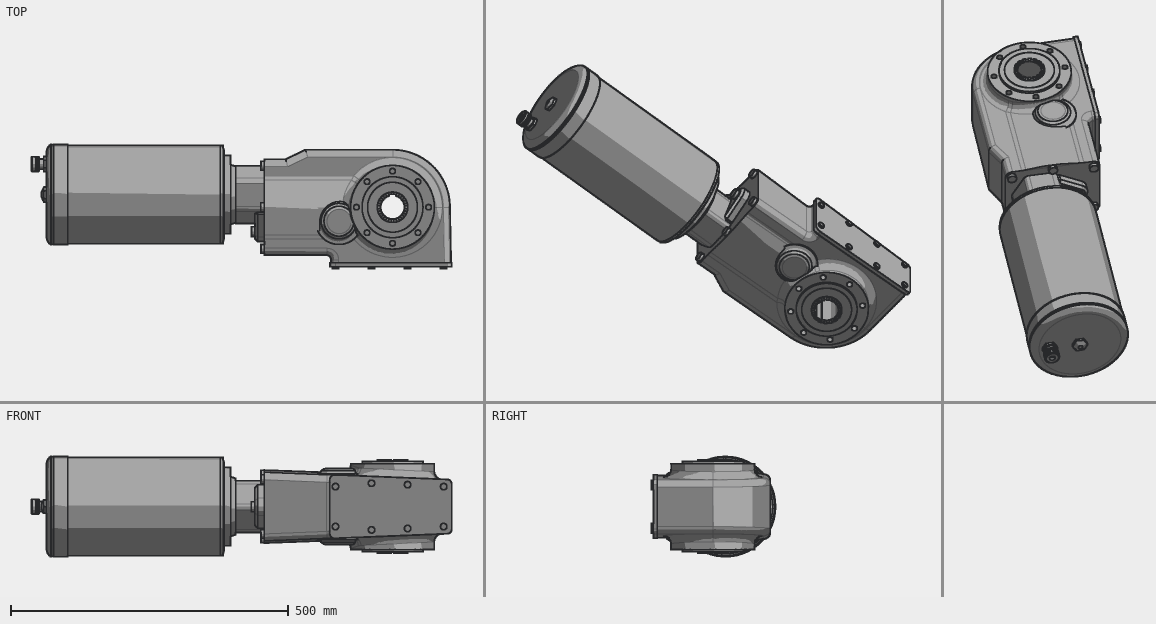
import cadquery as cq
import math


MOTOR_Y = 22.7
CAP_FACE_X = -624.0
CAP_END_X = -585.5
BODY_END_X = -303.5
SPIGOT_END_X = -292.0
COLLAR_END_X = -283.0
CAP_RADIUS = 181 / 2
BODY_RADIUS = 178 / 2
CAP_FLAT_RADIUS = 75.0
SPIGOT_RADIUS = 71.0
COLLAR_RADIUS = 54.0
COUPLING_FLATS = 93.5
COUPLING_EDGE_RADIUS = 11.0

FITTING_CORNERS = 28.0
GLAND_OFFSET_Y = 55.0
GLAND_END_X = -651.4
GLAND_HEAD_RADIUS = 13.5
GLAND_NECK_RADIUS = 9.5
PLUG_HEIGHT = 9.0

HOUSING_LEFT_X = -231.0
HOUSING_HALF_WIDTH = 86.5
HOUSING_ROUND = 103.8
SLANT_START_X = -193.0
SLANT_END_X = -157.0
FOOT_LEFT_X = -111.0
FOOT_RIGHT_X = 106.0
FOOT_FACE_Y = -107.4
FOOT_CORNER_RADIUS = 8.0
EDGE_RADIUS = 13.0
TOP_SLOPE = 0.041
TOP_Z_AT_BORE = 52.4
BULGE_HALF_WIDTH = 53.0
BULGE_RISE = 4.5
BULGE_END_X = -30.0
BULGE_BLEND = 50.0

PLATE_THICKNESS = 7.5
PLATE_LIP = 0.8
PLATE_LEFT_X = -113.0
PLATE_RIGHT_X = 107.0
PLATE_CORNER_RADIUS = 9.0
PLATE_SCREW_DIAMETER = 11.6
PLATE_SCREW_HEIGHT = 3.5
PLATE_SCREW_PITCH = 65.0
PLATE_SCREW_FIRST_X = -102.8
PLATE_SCREW_Z = [36.0, 42.0, 39.5, 36.0]

FLANGE_RADIUS = 75.5
FLANGE_Z = 77.5
FLANGE_BLEND = 14.5
RING_RADIUS = 110 / 2
RING_Z = 81.8
SEAL_RADIUS = 90 / 2
SEAL_RECESS = 0.5
HUB_RADIUS = 55 / 2
HUB_Z = 84.2
BORE_RADIUS = 42.5 / 2
KEY_WIDTH = 12.0
KEY_REACH = 23.0
HUB_SLOTS = 16
HUB_SLOT_WIDTH = 5.0
HUB_SLOT_DEPTH = 2.0
FLANGE_HOLES = 8
FLANGE_HOLE_DIAMETER = 10.0
FLANGE_HOLE_DEPTH = 18.0
FLANGE_HOLE_CIRCLE = 65.0

BOSS_X = -96.6
BOSS_Y = -25.2
BOSS_RADIUS = 32.0
BOSS_SHOULDER_RADIUS = 27.0
BOSS_FACE_RADIUS = 22.0
BOSS_FOOT_RADIUS = 42.0
BOSS_Z = 69.0

PAD_THICKNESS = 17.0
PAD_CHAMFER = 5.0
PAD_CENTRE_Y = -44.0
PAD_TIP_RADIUS = 18.0
PAD_BASE_Y = 0.0
PAD_FLANK_ANGLE = 30.0
PAD_CORNER_Z = 39.0
PAD_BOLT_DIAMETER = 18.0
PAD_BOLT_HEIGHT = 6.5
HOUSING_BOLT_DIAMETER = 16.0
HOUSING_BOLT_HEIGHT = 6.5
CORNER_BOLT_Y = 75.0
CORNER_BOLT_Z = 49.5
MIDDLE_BOLT_Z = 57.5


def top_z(x):
    """Height of the tapered upper face at position x."""
    return TOP_Z_AT_BORE - TOP_SLOPE * x


def both_sides(solid):
    """The solid together with its mirror image below Z = 0."""
    return solid.union(solid.mirror("XY"))


def rod(x_start, x_end, radius, y, z=0.0):
    """Cylinder along X."""
    return cq.Workplane("YZ", origin=(x_start, y, z)).circle(radius).extrude(x_end - x_start)


def hex_bar(x_start, x_end, corners, y):
    """Hexagonal bar along X with two corners on the horizontal plane."""
    return cq.Workplane("YZ", origin=(x_start, y, 0)).polygon(6, corners).extrude(x_end - x_start)


def turn_about_x(profile, y):
    """Revolve an (x, radius) workplane profile about the X direction at the given y."""
    return profile.close().revolve(360, (0, 0, 0), (1, 0, 0)).translate((0, y, 0))


def motor():
    groove_start = CAP_FACE_X + 9.5
    groove_end = groove_start + 3.5
    groove_radius = CAP_RADIUS - 0.6
    rim_x = CAP_FACE_X + 8
    chamfer = 2.0
    profile = (
        cq.Workplane("XY")
        .moveTo(CAP_FACE_X, 0)
        .lineTo(CAP_FACE_X, CAP_FLAT_RADIUS)
        .threePointArc((CAP_FACE_X + 1.7, CAP_FLAT_RADIUS + 8), (rim_x, CAP_RADIUS))
        .lineTo(groove_start, CAP_RADIUS)
        .lineTo(groove_start, groove_radius)
        .lineTo(groove_end, groove_radius)
        .lineTo(groove_end, CAP_RADIUS)
        .lineTo(CAP_END_X, CAP_RADIUS)
        .lineTo(CAP_END_X, BODY_RADIUS)
        .lineTo(BODY_END_X - 7, BODY_RADIUS)
        .lineTo(BODY_END_X - 7, BODY_RADIUS - 0.4)
        .lineTo(BODY_END_X - chamfer, BODY_RADIUS - 0.4)
        .lineTo(BODY_END_X - chamfer, BODY_RADIUS - 4)
        .lineTo(BODY_END_X, BODY_RADIUS - 9)
        .lineTo(BODY_END_X, SPIGOT_RADIUS)
        .lineTo(SPIGOT_END_X, SPIGOT_RADIUS)
        .lineTo(SPIGOT_END_X, COLLAR_RADIUS)
        .lineTo(COLLAR_END_X, COLLAR_RADIUS - 3)
        .lineTo(COLLAR_END_X, 0)
    )
    return turn_about_x(profile, MOTOR_Y)


def cable_gland():
    y = MOTOR_Y + GLAND_OFFSET_Y
    head_end = GLAND_END_X + 15
    nut_start = CAP_FACE_X - 5
    head = rod(GLAND_END_X, head_end, GLAND_HEAD_RADIUS, y).faces("<X or >X").chamfer(2)
    groove = rod(GLAND_END_X + 8, GLAND_END_X + 10, GLAND_HEAD_RADIUS, y)
    groove = groove.cut(rod(GLAND_END_X + 8, GLAND_END_X + 10, GLAND_HEAD_RADIUS - 2, y))
    opening = rod(GLAND_END_X, GLAND_END_X + 6, 5, y)
    neck = rod(head_end, nut_start, GLAND_NECK_RADIUS, y)
    nut = hex_bar(nut_start, CAP_FACE_X, FITTING_CORNERS, y)
    return head.cut(groove).cut(opening).union(neck).union(nut)


def centre_plug():
    tip = CAP_FACE_X - PLUG_HEIGHT
    corner_radius = FITTING_CORNERS / 2
    dome = (
        cq.Workplane("XY")
        .moveTo(tip, 0)
        .lineTo(tip, 4)
        .lineTo(tip + 5, corner_radius)
        .lineTo(CAP_FACE_X, corner_radius)
        .lineTo(CAP_FACE_X, 0)
    )
    return hex_bar(tip, CAP_FACE_X, FITTING_CORNERS, MOTOR_Y).intersect(turn_about_x(dome, MOTOR_Y))


def coupling_housing():
    corners = COUPLING_FLATS / math.cos(math.radians(30))
    bar = hex_bar(COLLAR_END_X, HOUSING_LEFT_X, corners, MOTOR_Y)
    return bar.edges("|X").fillet(COUPLING_EDGE_RADIUS)


def wedge(x_start, x_end, half_width, lip=0.0):
    """Block of the given half width in Y, bounded by the tapered broad faces raised by the lip."""
    start_z = top_z(x_start) + lip
    end_z = top_z(x_end) + lip
    corners = [(x_start, -start_z), (x_end, -end_z), (x_end, end_z), (x_start, start_z)]
    return cq.Workplane("XZ").polyline(corners).close().extrude(half_width, both=True)


def housing_body():
    outline = (
        cq.Workplane("XY")
        .moveTo(HOUSING_LEFT_X, -HOUSING_HALF_WIDTH)
        .lineTo(HOUSING_LEFT_X, HOUSING_HALF_WIDTH)
        .lineTo(SLANT_START_X, HOUSING_HALF_WIDTH)
        .lineTo(SLANT_END_X, HOUSING_ROUND)
        .lineTo(0, HOUSING_ROUND)
        .threePointArc(
            (HOUSING_ROUND * math.cos(math.pi / 4), HOUSING_ROUND * math.sin(math.pi / 4)),
            (HOUSING_ROUND, 0),
        )
        .lineTo(FOOT_RIGHT_X, FOOT_FACE_Y)
        .lineTo(FOOT_LEFT_X, FOOT_FACE_Y)
        .lineTo(FOOT_LEFT_X, -HOUSING_HALF_WIDTH)
        .close()
    )
    half_height = top_z(HOUSING_LEFT_X) + 10
    prism = outline.extrude(half_height, both=True)
    foot_corner = cq.selectors.NearestToPointSelector((FOOT_LEFT_X, -HOUSING_HALF_WIDTH, 0))
    prism = prism.edges("|Z").edges(foot_corner).fillet(FOOT_CORNER_RADIUS)
    body = prism.intersect(wedge(HOUSING_LEFT_X, FOOT_RIGHT_X + 10, 2 * HOUSING_ROUND))
    inner_box = cq.selectors.BoxSelector(
        (HOUSING_LEFT_X + 1, FOOT_FACE_Y + 1, -half_height),
        (FOOT_RIGHT_X + 10, HOUSING_ROUND + 1, half_height),
    )
    rims = body.faces(">Z or <Z").edges(inner_box)
    return rims.fillet(EDGE_RADIUS)


def bulge():
    """Crown of circular section following the tapered upper face."""
    radius = (BULGE_HALF_WIDTH ** 2 + BULGE_RISE ** 2) / (2 * BULGE_RISE)
    length = BULGE_END_X - HOUSING_LEFT_X
    crown = (
        cq.Workplane("YZ")
        .moveTo(-BULGE_HALF_WIDTH, 0)
        .radiusArc((BULGE_HALF_WIDTH, 0), radius)
        .lineTo(BULGE_HALF_WIDTH, -2 * BULGE_RISE)
        .lineTo(-BULGE_HALF_WIDTH, -2 * BULGE_RISE)
        .close()
        .extrude(length)
    )
    tilt = math.degrees(math.atan(TOP_SLOPE))
    crown = crown.rotate((0, 0, 0), (0, 1, 0), tilt)
    crown = crown.translate((HOUSING_LEFT_X, 0, top_z(HOUSING_LEFT_X)))
    trim_size = 4 * BULGE_HALF_WIDTH
    trim = cq.Workplane("YZ", origin=(HOUSING_LEFT_X, 0, 0)).rect(trim_size, trim_size).extrude(length)
    return crown.intersect(trim)


def cover_plate():
    outer_y = FOOT_FACE_Y
    inner_y = outer_y + PLATE_THICKNESS
    band = cq.Workplane("XY").box(
        PLATE_RIGHT_X - PLATE_LEFT_X, PLATE_THICKNESS, 4 * TOP_Z_AT_BORE
    ).translate(((PLATE_LEFT_X + PLATE_RIGHT_X) / 2, (inner_y + outer_y) / 2, 0))
    plate = wedge(PLATE_LEFT_X, PLATE_RIGHT_X, 2 * HOUSING_ROUND, PLATE_LIP).intersect(band)
    plate = plate.edges("|Y").fillet(PLATE_CORNER_RADIUS)
    for index, z in enumerate(PLATE_SCREW_Z):
        x = PLATE_SCREW_FIRST_X + index * PLATE_SCREW_PITCH
        heads = (
            cq.Workplane("XZ", origin=(x, outer_y, 0))
            .pushPoints([(0, z), (0, -z)])
            .circle(PLATE_SCREW_DIAMETER / 2)
            .extrude(PLATE_SCREW_HEIGHT)
        )
        plate = plate.union(heads)
    return plate


def output_flange():
    return (
        cq.Workplane("XZ")
        .moveTo(0, 0)
        .lineTo(FLANGE_RADIUS, 0)
        .lineTo(FLANGE_RADIUS, FLANGE_Z)
        .lineTo(RING_RADIUS, FLANGE_Z)
        .lineTo(RING_RADIUS, RING_Z)
        .lineTo(SEAL_RADIUS, RING_Z)
        .lineTo(SEAL_RADIUS, RING_Z - SEAL_RECESS)
        .lineTo(HUB_RADIUS, RING_Z - SEAL_RECESS)
        .lineTo(HUB_RADIUS, HUB_Z)
        .lineTo(0, HUB_Z)
        .close()
        .revolve(360, (0, 0, 0), (0, 1, 0))
    )


def flange_openings():
    """Tapped holes of the flange and the radial slots across the hub face."""
    holes = (
        cq.Workplane("XY", origin=(0, 0, FLANGE_Z - FLANGE_HOLE_DEPTH))
        .polarArray(FLANGE_HOLE_CIRCLE, 0, 360, FLANGE_HOLES)
        .circle(FLANGE_HOLE_DIAMETER / 2)
        .extrude(FLANGE_HOLE_DEPTH)
    )
    slots = (
        cq.Workplane("XY", origin=(0, 0, HUB_Z - HUB_SLOT_DEPTH))
        .polarArray((BORE_RADIUS + HUB_RADIUS) / 2, 0, 360, HUB_SLOTS)
        .rect(HUB_RADIUS - BORE_RADIUS + 4, HUB_SLOT_WIDTH)
        .extrude(HUB_SLOT_DEPTH)
    )
    return holes.union(slots)


def bore():
    hole = cq.Workplane("XY").circle(BORE_RADIUS).extrude(HUB_Z, both=True)
    keyway = (
        cq.Workplane("XY")
        .center(0, KEY_REACH / 2)
        .rect(KEY_WIDTH, KEY_REACH)
        .extrude(HUB_Z, both=True)
    )
    return hole.union(keyway)


def shaft_boss():
    root_z = top_z(BOSS_X) + 0.7 * BULGE_RISE
    shoulder_z = BOSS_Z - 1
    return (
        cq.Workplane("XZ")
        .moveTo(0, 0)
        .lineTo(BOSS_FOOT_RADIUS, 0)
        .lineTo(BOSS_FOOT_RADIUS, root_z)
        .threePointArc((BOSS_RADIUS + 3, root_z + 1.5), (BOSS_RADIUS, root_z + 5))
        .lineTo(BOSS_SHOULDER_RADIUS, shoulder_z)
        .lineTo(BOSS_FACE_RADIUS, BOSS_Z)
        .lineTo(0, BOSS_Z)
        .close()
        .revolve(360, (0, 0, 0), (0, 1, 0))
        .translate((BOSS_X, BOSS_Y, 0))
    )


def side_pad():
    """Triangular pad with a rounded tip towards -Y and one bolt head."""
    angle = math.radians(PAD_FLANK_ANGLE)
    tangent_y = PAD_CENTRE_Y - PAD_TIP_RADIUS * math.sin(angle)
    tangent_z = PAD_TIP_RADIUS * math.cos(angle)
    corner_y = tangent_y + (PAD_CORNER_Z - tangent_z) / math.tan(angle)
    pad = (
        cq.Workplane("YZ", origin=(HOUSING_LEFT_X - PAD_THICKNESS, 0, 0))
        .moveTo(PAD_BASE_Y, -PAD_CORNER_Z)
        .lineTo(corner_y, -PAD_CORNER_Z)
        .lineTo(tangent_y, -tangent_z)
        .threePointArc((PAD_CENTRE_Y - PAD_TIP_RADIUS, 0), (tangent_y, tangent_z))
        .lineTo(corner_y, PAD_CORNER_Z)
        .lineTo(PAD_BASE_Y, PAD_CORNER_Z)
        .close()
        .extrude(PAD_THICKNESS)
        .faces("<X")
        .chamfer(PAD_CHAMFER)
    )
    face_x = HOUSING_LEFT_X - PAD_THICKNESS
    bolt = rod(face_x - PAD_BOLT_HEIGHT, face_x, PAD_BOLT_DIAMETER / 2, PAD_CENTRE_Y)
    return pad.union(bolt)


def housing_bolts():
    places = [(CORNER_BOLT_Y, CORNER_BOLT_Z), (0, MIDDLE_BOLT_Z), (-CORNER_BOLT_Y, CORNER_BOLT_Z)]
    bolts = (
        cq.Workplane("YZ", origin=(HOUSING_LEFT_X - HOUSING_BOLT_HEIGHT, 0, 0))
        .pushPoints(places)
        .circle(HOUSING_BOLT_DIAMETER / 2)
        .extrude(HOUSING_BOLT_HEIGHT)
    )
    return both_sides(bolts)


def bulge_foot_edges(body):
    """The four long edges where the crowns rise from the broad faces."""
    x = (HOUSING_LEFT_X - FLANGE_RADIUS) / 2
    z = top_z(x)
    edges = []
    for y in (BULGE_HALF_WIDTH, -BULGE_HALF_WIDTH):
        for side in (1, -1):
            nearest = cq.selectors.NearestToPointSelector((x, y, side * z))
            edges.extend(body.edges(nearest).vals())
    return body.newObject(edges)


def flange_foot_edges(body):
    """The edges where the flange cylinders rise from the broad faces."""
    def on_flange_wall(point):
        return abs(math.hypot(point.x, point.y) - FLANGE_RADIUS) < 0.01 and abs(point.z) < FLANGE_Z - 1

    edges = []
    for edge in body.edges().vals():
        if edge.geomType() != "LINE" and all(on_flange_wall(edge.positionAt(t)) for t in (0, 0.3, 0.7, 1)):
            edges.append(edge)
    return body.newObject(edges)


def blended_housing():
    """Gear housing with its crowns and output flanges, filleted where these rise."""
    body = housing_body().union(both_sides(bulge())).union(both_sides(output_flange()))
    body = bulge_foot_edges(body).fillet(BULGE_BLEND)
    return flange_foot_edges(body).fillet(FLANGE_BLEND)


housing = blended_housing()
housing = housing.union(both_sides(shaft_boss()))
housing = housing.union(cover_plate()).union(side_pad()).union(housing_bolts())
housing = housing.cut(both_sides(flange_openings())).cut(bore())

drive = motor().union(cable_gland()).union(centre_plug()).union(coupling_housing())

result = housing.union(drive)